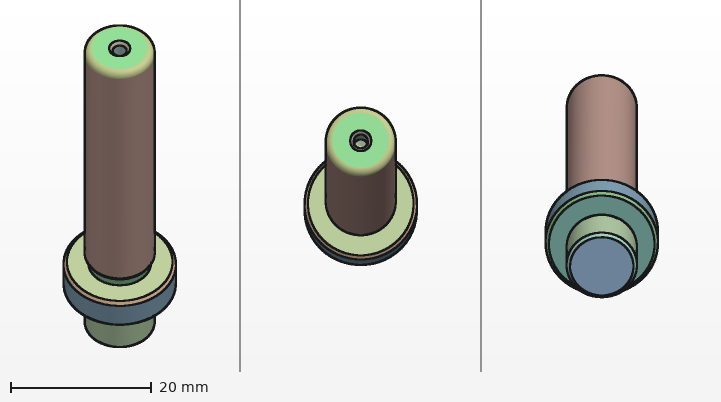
import cadquery as cq
import math

total_height = 58.0
spigot_top = 7.5
flange_bottom = 8.0
flange_thickness = 5.0
flange_top = flange_bottom + flange_thickness
shaft_bottom = 14.4
shaft_shoulder_top = 15.0

shaft_diameter = 10.0
spigot_diameter = shaft_diameter
flange_diameter = 16.0
neck_diameter = 9.0
upper_neck_top_diameter = 9.3

edge_chamfer = 0.5
shaft_top_radius = 1.0

hole_diameter = 2.0
hole_mouth_diameter = 3.0
hole_depth = 4.0
hole_tip_angle = 118.0
mouth_cone_angle = 90.0


def cylinder(diameter, bottom, top):
    """Solid cylinder on the pin axis between two heights."""
    return cq.Workplane("XY").workplane(offset=bottom).circle(diameter / 2).extrude(top - bottom)


def revolve_profile(profile):
    """Turn a closed (radius, height) profile around the pin axis."""
    return profile.close().revolve(360, (0, 0, 0), (0, 1, 0))


def make_spigot():
    """Locating end below the flange, chamfered at both ends."""
    spigot = cylinder(spigot_diameter, 0, spigot_top)
    spigot = spigot.faces("<Z").chamfer(edge_chamfer)
    shoulder_width = (spigot_diameter - neck_diameter) / 2
    return spigot.faces(">Z").edges().chamfer(shoulder_width)


def make_lower_neck():
    """Relief groove between the spigot and the flange."""
    return cylinder(neck_diameter, spigot_top, flange_bottom)


def make_flange():
    """Collar with both rims chamfered."""
    flange = cylinder(flange_diameter, flange_bottom, flange_top)
    return flange.faces("<Z or >Z").edges().chamfer(edge_chamfer)


def make_upper_neck_and_shaft():
    """Long shaft with a rounded top, carried on a slightly tapered relief neck."""
    shaft_radius = shaft_diameter / 2
    arc_inset = shaft_top_radius * (1 - math.sqrt(0.5))
    profile = (
        cq.Workplane("XZ")
        .moveTo(0, flange_top)
        .lineTo(neck_diameter / 2, flange_top)
        .lineTo(upper_neck_top_diameter / 2, shaft_bottom)
        .lineTo(shaft_radius, shaft_shoulder_top)
        .lineTo(shaft_radius, total_height - shaft_top_radius)
        .threePointArc(
            (shaft_radius - arc_inset, total_height - arc_inset),
            (shaft_radius - shaft_top_radius, total_height),
        )
        .lineTo(0, total_height)
    )
    return revolve_profile(profile)


def make_centre_hole():
    """Cutter for the drilled hole: conical mouth, straight bore and drill tip."""
    hole_radius = hole_diameter / 2
    mouth_radius = hole_mouth_diameter / 2
    mouth_depth = (mouth_radius - hole_radius) / math.tan(math.radians(mouth_cone_angle / 2))
    tip_depth = hole_radius / math.tan(math.radians(hole_tip_angle / 2))
    bore_bottom = total_height - hole_depth
    profile = (
        cq.Workplane("XZ")
        .moveTo(0, total_height)
        .lineTo(mouth_radius, total_height)
        .lineTo(hole_radius, total_height - mouth_depth)
        .lineTo(hole_radius, bore_bottom)
        .lineTo(0, bore_bottom - tip_depth)
    )
    return revolve_profile(profile)


result = (
    make_spigot()
    .union(make_lower_neck())
    .union(make_flange())
    .union(make_upper_neck_and_shaft())
    .cut(make_centre_hole())
)